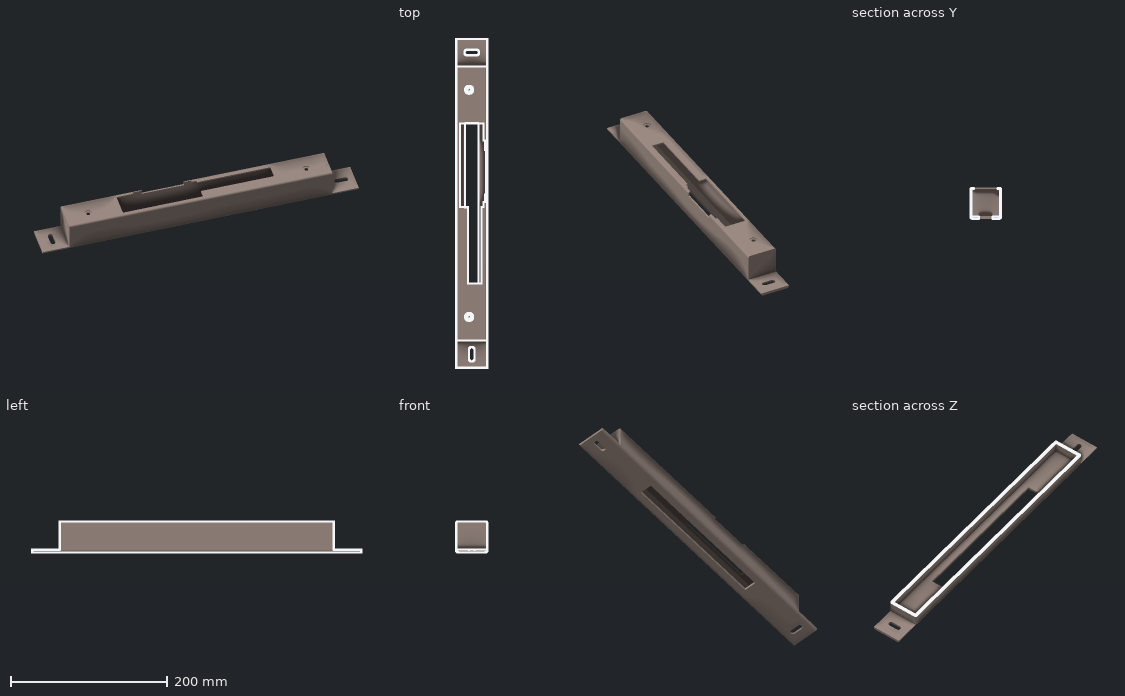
import cadquery as cq

length = 421
width = 40.0
height = 40.0
body_length = 350.5
base_thickness = 3.8
wall = 2.0
edge_radius = 3.0
tab_length = (length - body_length) / 2
inner_half_width = width / 2 - wall
flat_half_width = width / 2 - edge_radius

opening_end = 102.5
opening_step = -4.5
wide_half_width = 14.7
narrow_left = -4.5
narrow_right = 12.0
base_slot_half_width = 8.5

relief_start = 1.5
relief_end = 80.5
notch_start = 11.5
notch_end = 68.0
notch_depth = 6.5

screw_x = -3.5
screw_y = 145.2
screw_diameter = 5.0
counterbore_diameter = 10.0
counterbore_depth = wall / 2

slot_length = 18.5
slot_width = 6.7
slot_y = (length - tab_length) / 2


def block(x_range, y_range, z_range):
    """Box spanning the given (low, high) range along each axis."""
    (x0, x1), (y0, y1), (z0, z1) = x_range, y_range, z_range
    return cq.Workplane("XY").box(x1 - x0, y1 - y0, z1 - z0, centered=False).translate((x0, y0, z0))


def housing():
    """Hollow box with rounded long edges, joined to the base plate."""
    base = (
        cq.Workplane("XY")
        .box(width, length, base_thickness, centered=(True, True, False))
        .edges("|Y and <Z")
        .fillet(edge_radius)
    )
    box = (
        cq.Workplane("XY")
        .box(width, body_length, height, centered=(True, True, False))
        .edges("|Y")
        .fillet(edge_radius)
    )
    inner_half_length = body_length / 2 - wall
    cavity = block(
        (-inner_half_width, inner_half_width),
        (-inner_half_length, inner_half_length),
        (base_thickness, height - wall),
    )
    return box.union(base).cut(cavity)


def openings():
    """Stepped top opening, wall relief, wall notch and base slot as one cutting body."""
    through_top = (height - wall, height)
    wide = block((-wide_half_width, wide_half_width), (opening_step, opening_end), through_top)
    narrow = block((narrow_left, narrow_right), (-opening_end, opening_step), through_top)
    relief = block((0, flat_half_width), (relief_start, relief_end), through_top)
    notch = block((0, width / 2), (notch_start, notch_end), (height - notch_depth, height))
    base_slot = block(
        (-base_slot_half_width, base_slot_half_width),
        (-opening_end, opening_end),
        (0, base_thickness),
    )
    return wide.union(narrow).union(relief).union(notch).union(base_slot)


def add_screw_holes(part):
    """Counterbored holes through the top sheet only."""
    return (
        part.faces(">Z")
        .workplane(origin=(0, 0, height))
        .pushPoints([(screw_x, screw_y), (screw_x, -screw_y)])
        .cboreHole(screw_diameter, counterbore_diameter, counterbore_depth, depth=wall)
    )


def tab_slot(y, angle):
    """Round-ended slot through a tab; angle 0 runs along X, 90 along Y."""
    return cq.Workplane("XY").center(0, y).slot2D(slot_length, slot_width, angle).extrude(base_thickness)


result = add_screw_holes(housing().cut(openings()))
result = result.cut(tab_slot(slot_y, 0)).cut(tab_slot(-slot_y, 90))